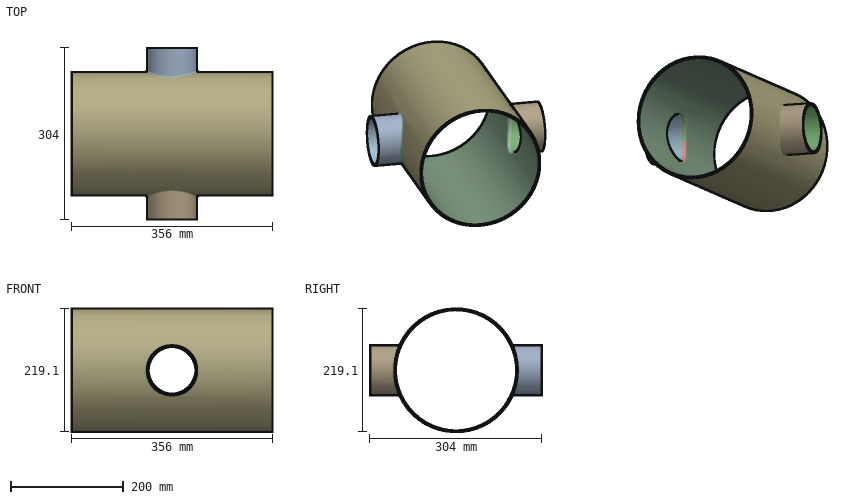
import cadquery as cq

PIPE_LENGTH = 356.0
PIPE_DIAMETER = 219.1
BRANCH_SPAN = 304.0
BRANCH_DIAMETER = 88.9

WALL = 3.0
OUTER_JOINT_RADIUS = 3.0
INNER_JOINT_RADIUS = OUTER_JOINT_RADIUS + WALL

PIPE_BORE = PIPE_DIAMETER - 2 * WALL
BRANCH_BORE = BRANCH_DIAMETER - 2 * WALL


def rod_along_x(diameter):
    """Solid cylinder as long as the main pipe, centred on the origin."""
    return cq.Workplane("YZ").circle(diameter / 2).extrude(PIPE_LENGTH / 2, both=True)


def rod_along_y(diameter):
    """Solid cylinder spanning both branch ends, centred on the origin."""
    return cq.Workplane("XZ").circle(diameter / 2).extrude(BRANCH_SPAN / 2, both=True)


def rounded_cross(pipe_diameter, branch_diameter, joint_radius):
    """Two crossing cylinders with the saddle-shaped edges between them rounded."""
    cross = rod_along_x(pipe_diameter).union(rod_along_y(branch_diameter))
    zone_half_depth = (PIPE_DIAMETER + BRANCH_SPAN) / 4
    joint_zone = cq.selectors.BoxSelector(
        (-BRANCH_DIAMETER, -zone_half_depth, -BRANCH_DIAMETER),
        (BRANCH_DIAMETER, zone_half_depth, BRANCH_DIAMETER),
        boundingbox=True,
    )
    return cross.edges(joint_zone).fillet(joint_radius)


outer_body = rounded_cross(PIPE_DIAMETER, BRANCH_DIAMETER, OUTER_JOINT_RADIUS)
inner_passage = rounded_cross(PIPE_BORE, BRANCH_BORE, INNER_JOINT_RADIUS)

result = outer_body.cut(inner_passage)